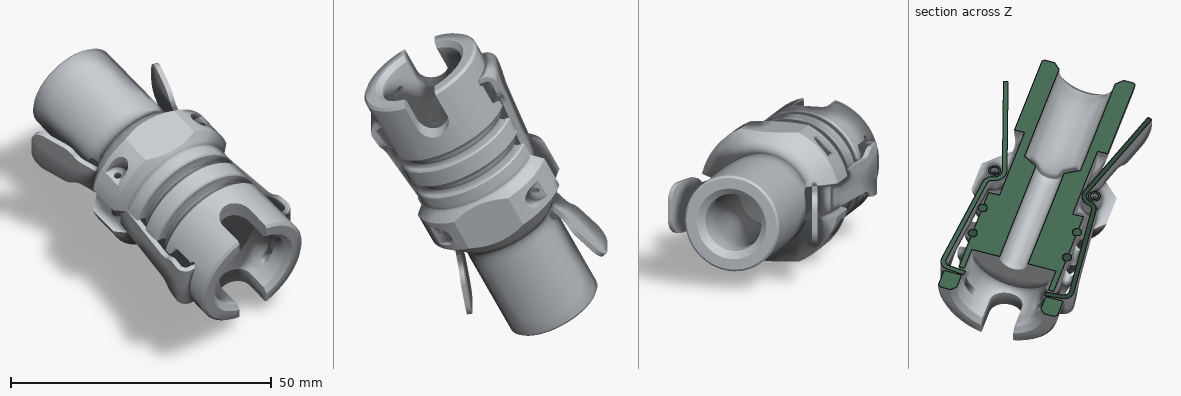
import cadquery as cq
import math

LENGTH = 57.8
TUBE_DIA = 18.85
TUBE_CHAMFER = 0.4
COLLAR_START = 20.4
COLLAR_END = 33.35
COLLAR_DIA = 27.95
COLLAR_HEIGHT = 25.4
BARREL_DIA = 24.1
BARREL_CHAMFER = 0.5

BORE_DIA = 11.2
BORE_MOUTH_DIA = 13.85
BORE_DEPTH = 23.1
CONE_DIA = 10.75
CONE_DEPTH = 1.55
THROUGH_DIA = 5.6
SOCKET_DIA = 16.9
SOCKET_START = 47.4
SOCKET_CHAMFER = 1.0

GROOVE_CENTRES = (37.5, 43.8)
GROOVE_RADIUS = 1.2
GROOVE_FLOOR_DIA = 20.2
GROOVE_EDGE = 0.3
RING_OFFSET = -0.25
RING_OUTER_DIA = 20.85
RING_SECTION_DIA = 1.75

NOTCH_WIDTH = 6.5
NOTCH_START = 49.15

PIN_DIA = 2.35
PIN_HOLE_DIA = 1.5
PIN_X = 28.1
PIN_Y = 10.05
PIN_LENGTH = 15.85
PIN_POCKET_WIDTH = 4.05

SHEET = 1.0
NECK_WIDTH = 6.5
PADDLE_WIDTH = 9.95
PADDLE_RADIUS = 3.2
PADDLE_STRAIGHT = 7.55
TIP_Y = 14.995
HANDLE_ANGLE = math.radians(17.2)
ARM_ANGLE = math.radians(5.5)
CURL_RADIUS = 1.45
ARM_START_X = 31.25
ARM_START_Y = 11.45
HOOK_START_X = 51.1
HOOK_PADDLE_STRAIGHT = 1.3
HOOK_RADIUS = 2.0
HOOK_LEG = 3.45

SLOT_START = 17.75
SLOT_END_FILLET = 2.0
SLOT_DEEP_FLOOR = 7.4
SLOT_FLOOR = 9.6
WINDOW_START = 47.05
WINDOW_WIDTH = 11.0
WINDOW_FILLET = 1.0
HOOK_HOLE_START = 52.1
HOOK_HOLE_WIDTH = 1.55
HOOK_HOLE_LENGTH = 12.15

TUBE_R = TUBE_DIA / 2
COLLAR_R = COLLAR_DIA / 2
BARREL_R = BARREL_DIA / 2
CLEAR = COLLAR_DIA
HOOK_HOLE_X = HOOK_HOLE_START + HOOK_HOLE_WIDTH / 2


def turned(outline):
    """Solid of revolution about X of an outline of (x, radius) points."""
    return cq.Workplane("XY").polyline(outline).close().revolve(360, (0, 0, 0), (1, 0, 0))


def both_sides(cutter):
    """A +Y cutter together with its mirror image at -Y."""
    return cutter.union(cutter.mirror("XZ"))


def side_block(start, end, width, floor):
    """Block from start to end along X, centred on Z = 0, reaching outwards from a floor at +Y."""
    corner = cq.Workplane("XY", origin=(start, floor, 0))
    return corner.box(end - start, CLEAR, width, centered=(False, False, True))


def housing_blank():
    blank = turned([
        (0, 0),
        (0, TUBE_R - TUBE_CHAMFER),
        (TUBE_CHAMFER, TUBE_R),
        (COLLAR_START, TUBE_R),
        (COLLAR_START + COLLAR_R - TUBE_R, COLLAR_R),
        (COLLAR_END - COLLAR_R + BARREL_R, COLLAR_R),
        (COLLAR_END, BARREL_R),
        (LENGTH - BARREL_CHAMFER, BARREL_R),
        (LENGTH, BARREL_R - BARREL_CHAMFER),
        (LENGTH, 0),
    ])
    return blank.intersect(cq.Workplane("XY").box(2 * LENGTH, CLEAR, COLLAR_HEIGHT))


def bore():
    mouth = (BORE_MOUTH_DIA - BORE_DIA) / 2
    return turned([
        (0, 0),
        (0, BORE_MOUTH_DIA / 2),
        (mouth, BORE_DIA / 2),
        (BORE_DEPTH, BORE_DIA / 2),
        (BORE_DEPTH, CONE_DIA / 2),
        (BORE_DEPTH + CONE_DEPTH, THROUGH_DIA / 2),
        (SOCKET_START, THROUGH_DIA / 2),
        (SOCKET_START, SOCKET_DIA / 2),
        (LENGTH - SOCKET_CHAMFER, SOCKET_DIA / 2),
        (LENGTH, SOCKET_DIA / 2 + SOCKET_CHAMFER),
        (LENGTH, 0),
    ])


def groove(x):
    round_r = GROOVE_FLOOR_DIA / 2 + GROOVE_RADIUS
    edge_r = BARREL_R - GROOVE_EDGE
    edge_x = GROOVE_RADIUS + GROOVE_EDGE
    return (
        cq.Workplane("XY")
        .moveTo(x - GROOVE_RADIUS, round_r)
        .threePointArc((x, GROOVE_FLOOR_DIA / 2), (x + GROOVE_RADIUS, round_r))
        .lineTo(x + GROOVE_RADIUS, edge_r)
        .lineTo(x + edge_x, BARREL_R)
        .lineTo(x + edge_x, COLLAR_R)
        .lineTo(x - edge_x, COLLAR_R)
        .lineTo(x - edge_x, BARREL_R)
        .lineTo(x - GROOVE_RADIUS, edge_r)
        .close()
        .revolve(360, (0, 0, 0), (1, 0, 0))
    )


def end_notch():
    radius = NOTCH_WIDTH / 2
    return (
        cq.Workplane("XY")
        .moveTo(LENGTH, radius)
        .lineTo(NOTCH_START + radius, radius)
        .threePointArc((NOTCH_START, 0), (NOTCH_START + radius, -radius))
        .lineTo(LENGTH, -radius)
        .close()
        .extrude(CLEAR, both=True)
    )


def slot_end_fillet(block, x, radius):
    """Round the upright edges of a side cutter at one X."""
    wall = cq.selectors.BoxSelector((x - 0.6, -CLEAR, -CLEAR), (x + 0.6, 2 * CLEAR, CLEAR))
    return block.edges("|Y").edges(wall).fillet(radius)


def lever_slot():
    """Cutter for the +Y lever: deep in the collar, shallow along the barrel, with a hook window."""
    deep = side_block(SLOT_START, COLLAR_END, NECK_WIDTH, SLOT_DEEP_FLOOR)
    deep = slot_end_fillet(deep, SLOT_START, SLOT_END_FILLET)
    shallow = side_block(COLLAR_END, HOOK_HOLE_X, NECK_WIDTH, SLOT_FLOOR)
    shallow = shallow.union(side_block(WINDOW_START, HOOK_HOLE_X, WINDOW_WIDTH, SLOT_FLOOR))
    shallow = slot_end_fillet(shallow, WINDOW_START, WINDOW_FILLET)
    hook_hole = (
        cq.Workplane("XZ")
        .center(HOOK_HOLE_X, 0)
        .slot2D(HOOK_HOLE_LENGTH, HOOK_HOLE_WIDTH, 90)
        .extrude(-CLEAR)
    )
    return deep.union(shallow).union(hook_hole)


def pin_seat():
    """Pin hole and the two end pockets that open outwards, for the +Y pin."""
    seat = cq.Workplane("XY").center(PIN_X, PIN_Y).circle(PIN_DIA / 2).extrude(CLEAR, both=True)
    radius = PIN_POCKET_WIDTH / 2
    pocket = (
        cq.Workplane("XY", origin=(0, 0, PIN_LENGTH / 2))
        .moveTo(PIN_X - radius, CLEAR)
        .lineTo(PIN_X - radius, PIN_Y)
        .threePointArc((PIN_X, PIN_Y - radius), (PIN_X + radius, PIN_Y))
        .lineTo(PIN_X + radius, CLEAR)
        .close()
        .extrude(CLEAR)
    )
    return seat.union(pocket).union(pocket.mirror("XY"))


def make_ring(x):
    """Seal ring of round section."""
    centre_r = (RING_OUTER_DIA - RING_SECTION_DIA) / 2
    return (
        cq.Workplane("XY")
        .center(x + RING_OFFSET, centre_r)
        .circle(RING_SECTION_DIA / 2)
        .revolve(360, (-0.6, -centre_r, 0), (0.6, -centre_r, 0))
    )


def make_housing():
    body = housing_blank().cut(bore()).cut(end_notch())
    for x in GROOVE_CENTRES:
        body = body.cut(groove(x)).cut(make_ring(x))
    return body.cut(both_sides(lever_slot())).cut(both_sides(pin_seat()))


def make_pin(side):
    return (
        cq.Workplane("XY", origin=(PIN_X, side * PIN_Y, -PIN_LENGTH / 2))
        .circle(PIN_DIA / 2)
        .circle(PIN_HOLE_DIA / 2)
        .extrude(PIN_LENGTH)
    )


def on_circle(centre, radius, angle):
    """Point at an angle on a circle in the XY plane."""
    return centre + cq.Vector(math.cos(angle), math.sin(angle)) * radius


def bend(centre, outer_r, inner_r, start, end, width):
    """Sheet bent round a centre, between two angles."""
    middle = (start + end) / 2
    outer = [on_circle(centre, outer_r, angle) for angle in (start, middle, end)]
    inner = [on_circle(centre, inner_r, angle) for angle in (end, middle, start)]
    outline = cq.Wire.assembleEdges([
        cq.Edge.makeThreePointArc(*outer),
        cq.Edge.makeLine(outer[-1], inner[0]),
        cq.Edge.makeThreePointArc(*inner),
        cq.Edge.makeLine(inner[-1], outer[0]),
    ])
    return cq.Workplane("XY").add(outline).toPending().extrude(width / 2, both=True)


def paddle_plate(start, direction, straight, length):
    """Outline of a flat arm, paddle end first, on the plane of its outer face."""
    paddle = PADDLE_WIDTH / 2
    neck = NECK_WIDTH / 2
    middle = (paddle + neck) / 2
    run = math.sqrt(PADDLE_RADIUS ** 2 - (PADDLE_RADIUS - paddle + middle) ** 2)
    face_normal = direction.cross(cq.Vector(0, 0, 1))
    return (
        cq.Workplane(cq.Plane(start, direction, face_normal))
        .moveTo(0, -paddle)
        .lineTo(straight, -paddle)
        .radiusArc((straight + run, -middle), -PADDLE_RADIUS)
        .radiusArc((straight + 2 * run, -neck), PADDLE_RADIUS)
        .lineTo(length, -neck)
        .lineTo(length, neck)
        .lineTo(straight + 2 * run, neck)
        .radiusArc((straight + run, middle), PADDLE_RADIUS)
        .radiusArc((straight, paddle), -PADDLE_RADIUS)
        .lineTo(0, paddle)
        .close()
    )


def make_lever():
    """The +Y lever: handle, curl round the pin, arm along the barrel and hook."""
    pin = cq.Vector(PIN_X, PIN_Y)

    handle_dir = cq.Vector(math.cos(HANDLE_ANGLE), -math.sin(HANDLE_ANGLE))
    handle_normal_angle = math.pi / 2 - HANDLE_ANGLE
    handle_end = on_circle(pin, -CURL_RADIUS, handle_normal_angle)
    handle_length = (TIP_Y - handle_end.y) / math.sin(HANDLE_ANGLE)
    tip = handle_end - handle_dir * handle_length
    handle = paddle_plate(tip, handle_dir, PADDLE_STRAIGHT, handle_length).extrude(SHEET)
    handle = handle.faces("<X").edges("not |Z").fillet(PADDLE_RADIUS)

    arm_dir = cq.Vector(math.cos(ARM_ANGLE), math.sin(ARM_ANGLE))
    arm_normal_angle = math.pi / 2 + ARM_ANGLE
    arm_start = cq.Vector(ARM_START_X, ARM_START_Y)
    arm_length = (HOOK_START_X - ARM_START_X) / math.cos(ARM_ANGLE)
    arm_end = arm_start + arm_dir * arm_length
    arm = paddle_plate(arm_end, arm_dir * -1, HOOK_PADDLE_STRAIGHT, arm_length).extrude(-SHEET)

    normal = on_circle(cq.Vector(0, 0), 1, arm_normal_angle)
    offset = arm_start - pin
    crest_radius = (offset.dot(offset) - CURL_RADIUS ** 2) / (2 * (CURL_RADIUS + offset.dot(normal)))
    crest = arm_start - normal * crest_radius
    meet_angle = math.atan2(crest.y - pin.y, crest.x - pin.x)
    curl = bend(pin, CURL_RADIUS + SHEET, CURL_RADIUS, handle_normal_angle - math.pi, meet_angle, NECK_WIDTH)
    rise = bend(crest, crest_radius, crest_radius - SHEET, meet_angle + math.pi, arm_normal_angle, NECK_WIDTH)

    hook_centre = on_circle(arm_end, -HOOK_RADIUS, arm_normal_angle)
    hook = bend(hook_centre, HOOK_RADIUS, HOOK_RADIUS - SHEET, arm_normal_angle, ARM_ANGLE, PADDLE_WIDTH)
    leg = (
        cq.Workplane(cq.Plane(hook_centre, arm_dir, (0, 0, 1)))
        .moveTo(HOOK_RADIUS - SHEET, 0)
        .lineTo(HOOK_RADIUS, 0)
        .lineTo(HOOK_RADIUS, -HOOK_LEG)
        .lineTo(HOOK_RADIUS - SHEET, -HOOK_LEG)
        .close()
        .extrude(PADDLE_WIDTH / 2, both=True)
    )
    return handle.union(curl).union(rise).union(arm).union(hook).union(leg)


housing = make_housing()
rings = [make_ring(x) for x in GROOVE_CENTRES]
pins = [make_pin(side) for side in (1, -1)]
lever = make_lever()
levers = [lever, lever.mirror("XZ")]

result = cq.Compound.makeCompound([
    housing.val(),
    *[body.val() for body in rings + pins + levers],
])